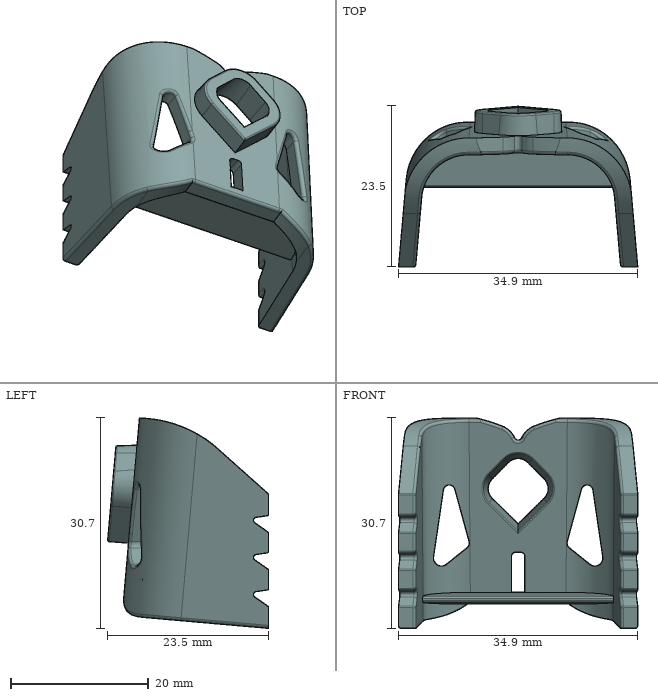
import cadquery as cq
import math

WIDTH = 34.9
HEIGHT = 30.68
DRAFT = 5.0
LEAN = math.tan(math.radians(DRAFT))
LEAN_SCALE = math.cos(math.radians(DRAFT))

WALL = 2.5
BACK_FOOT = 21.55
CORNER_RADIUS = 9.42
EDGE_ROUND = 0.45
OVERSIZE = 41.88

TIP_HEIGHT = 19.58
SLOPE_END = (7.82, 26.55)
CROWN_MIDDLE = (12.55, 29.4)
CROWN_END_Y = 18.95

NOTCH_COUNT = 3
NOTCH_PITCH = 5.4
LOWEST_NOTCH = 3.18
NOTCH_MOUTH = 2.45
NOTCH_DEPTH = 2.9
NOTCH_ROOF_DROP = 0.42
NOTCH_ROOT_RADIUS = 0.42
TOOTH_ROUND = 0.28

ARCH_START = 13.3
ARCH_RADIUS = 10.12
ARCH_FLAT = 7.33

DIP_BOTTOM = 27.45
DIP_TURN = (0.55, 27.92)
LOBE_NOSE = (1.2, 28.75)
LOBE_SHOULDER = (2.2, 29.45)
LOBE_MIDDLE = (3.75, 30.0)
LOBE_END = 6.1

SHELF_FRONT = 11.65
SHELF_TOP_BACK = 5.3
SHELF_TOP_FRONT = 4.65
SHELF_BOTTOM_FRONT = 3.8
SHELF_BOTTOM_BACK = 3.52
SHELF_NOSE_RADIUS = 0.3

DIAMOND_HEIGHT = 20.35
BOSS_END = 24.6
BOSS_NEAR = (8.13, 4.12)
BOSS_FAR = (7.68, 3.5)
HOLE_NEAR = (6.42, 3.05)
HOLE_FAR = (5.0, 1.8)
BOSS_START_Y = 17.8
DIAMOND_END_Y = 23.73
HOLE_START_Y = 16.75
HOLE_RIM = 0.2
BOSS_ROUND = 0.25

SLOT_WIDTH = 1.92
SLOT_TOP = 11.1
SLOT_CORNER = 0.6
WINDOW_TOP = (10.3, 24.15)
WINDOW_FOOT = (12.75, 7.55)
WINDOW_INNER = (7.0, 12.1)
WINDOW_TOP_RADIUS = 0.85
WINDOW_FOOT_RADIUS = 1.15
WINDOW_INNER_RADIUS = 0.9

SKIN_SHARE = 0.25
TOLERANCE = 0.005


def side_prism(outline):
    """Solid as wide as the part from an outline of (y, z) points."""
    return cq.Workplane("YZ").polyline(outline).close().extrude(OVERSIZE / 2, both=True)


def leaning_plane():
    """Plane through the leg soles, parallel to the leaning back wall."""
    return cq.Workplane(cq.Plane(origin=(0, 0, 0), xDir=(1, 0, 0), normal=(0, -1, -LEAN)))


def shell_core(inset):
    """Solid bounded by the outer wall faces moved inwards by inset."""
    half_width = WIDTH / 2 - inset / LEAN_SCALE
    back = BACK_FOOT - inset / LEAN_SCALE
    front = -inset
    low, high = -inset, HEIGHT + inset
    plan = [
        (-half_width + front * LEAN, front),
        (half_width - front * LEAN, front),
        (half_width - OVERSIZE * LEAN, OVERSIZE),
        (-half_width + OVERSIZE * LEAN, OVERSIZE),
    ]
    legs = cq.Workplane("XY").workplane(offset=low).polyline(plan).close().extrude(high - low)
    side = [
        (front, low),
        (back - low * LEAN, low),
        (back - high * LEAN, high),
        (front, high),
    ]
    core = legs.intersect(side_prism(side))
    return core.faces(">Y").edges("not |X").fillet(CORNER_RADIUS - inset)


def leg_outline():
    """Side shape: leaning sole, vertical tip, slope and rounded crown."""
    return (
        cq.Workplane("YZ")
        .lineTo(0, TIP_HEIGHT)
        .lineTo(*SLOPE_END)
        .threePointArc(CROWN_MIDDLE, (CROWN_END_Y, HEIGHT))
        .lineTo(OVERSIZE, HEIGHT)
        .lineTo(OVERSIZE, OVERSIZE * LEAN)
        .close()
        .extrude(OVERSIZE / 2, both=True)
    )


def arch():
    """Space under the back wall, arched from one leg to the other."""
    run = ARCH_START - ARCH_FLAT
    rise = ARCH_RADIUS - math.sqrt(ARCH_RADIUS**2 - run**2)
    half_run = run / 2
    half_rise = ARCH_RADIUS - math.sqrt(ARCH_RADIUS**2 - half_run**2)
    half_way = ARCH_START - half_run
    return (
        leaning_plane()
        .moveTo(-ARCH_START, 0)
        .threePointArc((-half_way, half_rise), (-ARCH_FLAT, rise))
        .lineTo(ARCH_FLAT, rise)
        .threePointArc((half_way, half_rise), (ARCH_START, 0))
        .lineTo(ARCH_START, -WALL)
        .lineTo(-ARCH_START, -WALL)
        .close()
        .extrude(-OVERSIZE)
    )


def lobe_dip():
    """Heart-shaped dip between the two lobes at the top of the back."""
    def left(point):
        return (-point[0], point[1])

    return (
        cq.Workplane("XZ")
        .moveTo(-LOBE_END, HEIGHT)
        .threePointArc(left(LOBE_MIDDLE), left(LOBE_SHOULDER))
        .threePointArc(left(LOBE_NOSE), left(DIP_TURN))
        .threePointArc((0, DIP_BOTTOM), DIP_TURN)
        .threePointArc(LOBE_NOSE, LOBE_SHOULDER)
        .threePointArc(LOBE_MIDDLE, (LOBE_END, HEIGHT))
        .close()
        .extrude(-OVERSIZE)
    )


def notch(bottom):
    """One tooth gap with a nearly level roof and a slanting floor."""
    roof = bottom + NOTCH_MOUTH
    root = (NOTCH_DEPTH, roof - NOTCH_ROOF_DROP)
    front = -NOTCH_DEPTH
    gap = side_prism([(front, roof), (0, roof), root, (0, bottom), (front, bottom)])
    return gap.edges("|X").edges(">Y").fillet(NOTCH_ROOT_RADIUS)


def diamond_loft(near, far, start_y):
    """Diamond with a sharp lower corner and three round ones, narrowing from near to far."""
    def section(size, y):
        half, radius = size
        corners = [(half, 0), (0, half), (-half, 0), (0, -half)]
        face = cq.Sketch().polygon(corners + corners[:1])
        face = face.vertices("not <Y").fillet(radius)
        return face.moved(cq.Location(cq.Vector(0, DIAMOND_HEIGHT, -y)))

    return (
        cq.Workplane("XZ")
        .placeSketch(section(near, start_y), section(far, DIAMOND_END_Y))
        .loft()
    )


def windows():
    """Mirrored pair of rounded triangular windows in the wall corners."""
    outline = [WINDOW_TOP, WINDOW_FOOT, WINDOW_INNER]
    window = cq.Workplane("XZ").polyline(outline).close().extrude(-OVERSIZE)
    window = window.edges("|Y and >Z").fillet(WINDOW_TOP_RADIUS)
    window = window.edges("|Y and <Z").fillet(WINDOW_FOOT_RADIUS)
    window = window.edges("|Y and <X").fillet(WINDOW_INNER_RADIUS)
    return window.union(window.mirror("YZ"))


def slot():
    """Upright slot in the back wall, rising from the shelf."""
    opening = (
        cq.Workplane("XZ", origin=(0, SHELF_FRONT, 0))
        .moveTo(-SLOT_WIDTH / 2, SHELF_TOP_BACK)
        .lineTo(SLOT_WIDTH / 2, SHELF_TOP_BACK)
        .lineTo(SLOT_WIDTH / 2, SLOT_TOP)
        .lineTo(-SLOT_WIDTH / 2, SLOT_TOP)
        .close()
        .extrude(-OVERSIZE)
    )
    return opening.faces(">Z").edges("|Y").fillet(SLOT_CORNER)


def shelf():
    """Wedge-shaped shelf with a rounded nose, fitted between the inner wall faces."""
    shelf_back = BACK_FOOT - WALL
    wedge = side_prism([
        (SHELF_FRONT, SHELF_TOP_FRONT),
        (SHELF_FRONT, SHELF_BOTTOM_FRONT),
        (shelf_back, SHELF_BOTTOM_BACK),
        (shelf_back, SHELF_TOP_BACK),
    ])
    return wedge.faces("<Y").edges("|X").fillet(SHELF_NOSE_RADIUS).intersect(inner)


def boss():
    """Diamond boss behind the back wall, ending in a face parallel to the wall."""
    room = side_prism([
        (0, 0),
        (BOSS_END, 0),
        (BOSS_END - OVERSIZE * LEAN, OVERSIZE),
        (0, OVERSIZE),
    ])
    diamond = diamond_loft(BOSS_NEAR, BOSS_FAR, BOSS_START_Y).intersect(room)
    return diamond.faces(">Y").edges().fillet(BOSS_ROUND).cut(inner)


outer = shell_core(0)
inner = shell_core(WALL)
skin_core = shell_core(SKIN_SHARE * WALL).val()
lining_core = shell_core((1 - SKIN_SHARE) * WALL).val()


def on_outside(edge):
    """Edges in the outer skin of the wall."""
    return not skin_core.isInside(edge.Center())


def on_inside(edge):
    """Edges in the inner skin of the wall."""
    return lining_core.isInside(edge.Center())


def on_sole(edge):
    """Outer lower edges, from one leg tip round to the other."""
    center = edge.Center()
    return on_outside(edge) and center.z < SHELF_TOP_FRONT and center.y > TOLERANCE


def on_tooth(edge):
    """Edges across the leg tips, except those at the sole."""
    center = edge.Center()
    return center.y < TOLERANCE and center.z > TOLERANCE


def on_rim(edge):
    """Inner edges along the leg tips, the slopes, the crown and the dip."""
    center = edge.Center()
    at_tip = center.y < NOTCH_DEPTH
    at_top = center.z > TIP_HEIGHT
    return on_inside(edge) and (at_tip or at_top)


def on_window(edge):
    """Outer edges of the side windows."""
    center = edge.Center()
    beside = WINDOW_INNER[0] < abs(center.x) < WINDOW_FOOT[0]
    between = WINDOW_FOOT[1] < center.z < WINDOW_TOP[1]
    return on_outside(edge) and beside and between


def on_hole(edge):
    """Edges of the diamond hole at the inner wall face."""
    center = edge.Center()
    half = HOLE_NEAR[0]
    return on_inside(edge) and abs(center.x) < half and abs(center.z - DIAMOND_HEIGHT) < half


block = outer.intersect(leg_outline()).cut(arch())
block = block.edges().filter(on_sole).fillet(EDGE_ROUND)

wall = block.cut(inner).cut(lobe_dip())
for index in range(NOTCH_COUNT):
    wall = wall.cut(notch(LOWEST_NOTCH + index * NOTCH_PITCH))
wall = wall.edges("|X").filter(on_tooth).fillet(TOOTH_ROUND)
wall = wall.edges().filter(on_rim).fillet(EDGE_ROUND)

wall = wall.cut(windows())
wall = wall.edges().filter(on_window).fillet(EDGE_ROUND)

result = wall.union(shelf()).union(boss()).cut(slot())
result = result.cut(diamond_loft(HOLE_NEAR, HOLE_FAR, HOLE_START_Y))
result = result.edges().filter(on_hole).fillet(HOLE_RIM)